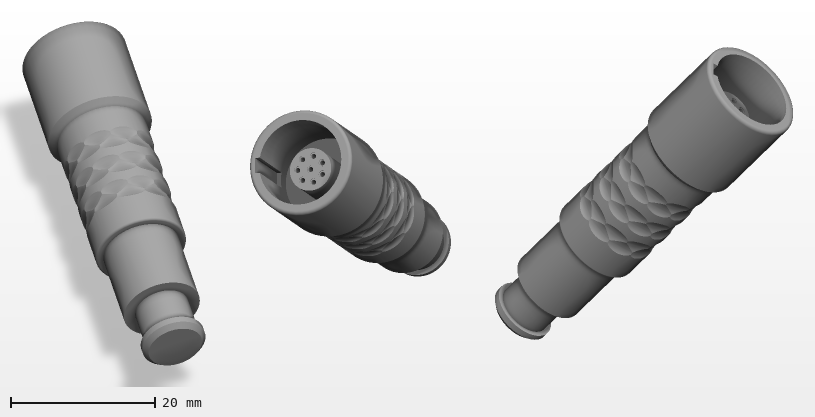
import cadquery as cq
import math

length = 54.0

shell_radius = 7.45
shell_end = 14.1
mouth_fillet = 0.5
bore_radius = 6.0
bore_depth = 11.9

grip_radius = 6.5
grip_start = shell_end + shell_radius - grip_radius
grip_end = 36.0
grip_fillet = 0.3

sleeve_radius = 5.45
sleeve_end = 46.85
neck_radius = 3.85
flange_radius = 4.55
flange_start = 52.4
flange_chamfer = 0.7

band_count = 3
band_pitch = 4.55
first_row_x = 20.05
row_spacing = 0.95
scallops_per_row = 10
scallop_radius = 2.0
scallop_depth = 0.395

keyway_length = 9.7
keyway_width = 2.15
keyway_radius = 6.6

insert_radius = 3.0
insert_face = 4.6
contact_circle_radius = 1.9
outer_contacts = 7
contact_recess_radius = 0.515
contact_recess_depth = 0.1
contact_hole_radius = 0.35
contact_hole_depth = 2.15


def x_cylinder(radius, start, end, y=0.0, z=0.0):
    """Cylinder along X between two stations."""
    return cq.Workplane("YZ", origin=(start, y, z)).circle(radius).extrude(end - start)


def turned_body():
    """Solid of revolution about X, before the grip is scalloped and the socket is opened."""
    mouth_mid = mouth_fillet * (1 - math.sqrt(0.5))
    grip_mid = grip_fillet * (1 - math.sqrt(0.5))
    return (
        cq.Workplane("XY")
        .moveTo(0, 0)
        .lineTo(0, shell_radius - mouth_fillet)
        .threePointArc((mouth_mid, shell_radius - mouth_mid), (mouth_fillet, shell_radius))
        .lineTo(shell_end, shell_radius)
        .lineTo(grip_start, grip_radius)
        .lineTo(grip_end - grip_fillet, grip_radius)
        .threePointArc(
            (grip_end - grip_mid, grip_radius - grip_mid),
            (grip_end, grip_radius - grip_fillet),
        )
        .lineTo(grip_end, sleeve_radius)
        .lineTo(sleeve_end, sleeve_radius)
        .lineTo(sleeve_end, neck_radius)
        .lineTo(flange_start, neck_radius)
        .lineTo(flange_start, flange_radius)
        .lineTo(length - flange_chamfer, flange_radius)
        .lineTo(length, flange_radius - flange_chamfer)
        .lineTo(length, 0)
        .close()
        .revolve(360, (0, 0, 0), (1, 0, 0))
    )


def scallop_cutters():
    """Cylinders lying tangentially across the grip, one for each scallop."""
    step = 360 / scallops_per_row
    axis_distance = grip_radius - scallop_depth + scallop_radius
    cutter_length = grip_radius
    cutters = []
    for band in range(band_count):
        for row in range(2):
            x = first_row_x + band * band_pitch + row * row_spacing
            cutter = (
                cq.Workplane("XZ", origin=(x, cutter_length / 2, axis_distance))
                .circle(scallop_radius)
                .extrude(cutter_length)
            )
            first_angle = 90 + row * step / 2
            for i in range(scallops_per_row):
                cutters.append(cutter.rotate((0, 0, 0), (1, 0, 0), first_angle + i * step))
    return cutters


def keyway():
    """Block that reaches from the X axis through the bore wall on the +Y side."""
    return cq.Workplane("XY").box(
        keyway_length, keyway_radius, keyway_width, centered=(False, False, True)
    )


def contact_positions():
    """Y, Z centres: one contact on the axis and a ring starting on the +Y side."""
    positions = [(0, 0)]
    for i in range(outer_contacts):
        angle = 2 * math.pi * i / outer_contacts
        positions.append((contact_circle_radius * math.cos(angle), contact_circle_radius * math.sin(angle)))
    return positions


result = turned_body()
for scallop in scallop_cutters():
    result = result.cut(scallop)

result = result.cut(x_cylinder(bore_radius, 0, bore_depth)).cut(keyway())

recess_floor = insert_face + contact_recess_depth
hole_floor = insert_face + contact_hole_depth
result = result.union(x_cylinder(insert_radius, insert_face, bore_depth))
for y, z in contact_positions():
    result = result.cut(x_cylinder(contact_recess_radius, insert_face, recess_floor, y, z))
    result = result.cut(x_cylinder(contact_hole_radius, recess_floor, hole_floor, y, z))